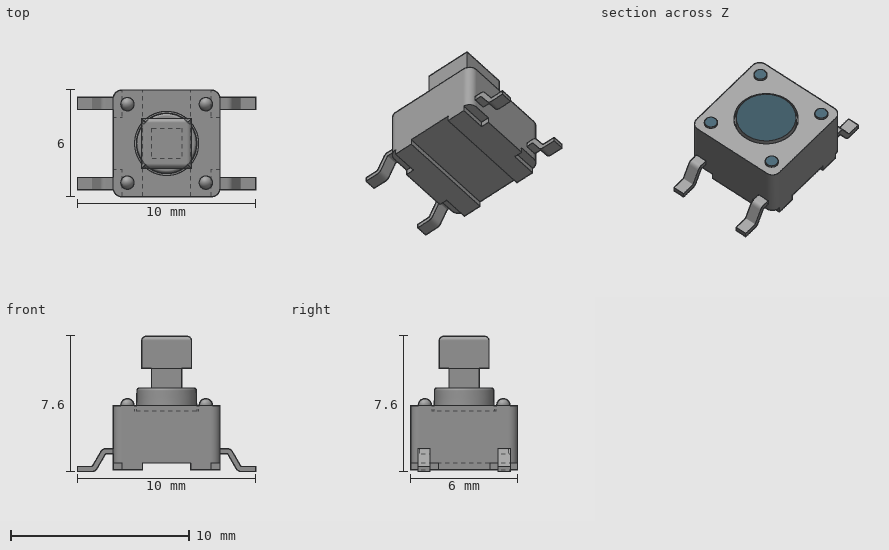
import cadquery as cq
import math

body_width = 6.0
body_bottom = 0.1
body_top = 3.7
corner_radius = 0.5

relief_height = 0.38
relief_top = body_bottom + relief_height
channel_width = 2.7
pad_width = 2.9
corner_notch_x = corner_radius
corner_notch_y = (body_width - pad_width) / 2

opening_diameter = 3.6
opening_depth = 0.3
opening_floor = body_top - opening_depth

rivet_diameter = 0.75
rivet_height = 0.4
rivet_spacing = 4.4

terminal_span = 10.0
terminal_width = 0.7
terminal_spacing = 4.5
terminal_thickness = 0.3
terminal_top = 1.3
foot_length = 0.8
bend_angle = math.radians(60)
inner_bend = 0.05
outer_bend = inner_bend + terminal_thickness

collar_base_diameter = 3.4
collar_top_diameter = 3.34
collar_top = 4.7
collar_fillet = 0.15
stem_width = 1.7
cap_width = 2.8
cap_bottom = 5.8
cap_top = 7.6
cap_fillet = 0.25


def block(size_x, size_y, bottom, top):
    """Upright block centred on the Z axis."""
    return cq.Workplane("XY").workplane(offset=bottom).rect(size_x, size_y).extrude(top - bottom)


def housing_block():
    shape = block(body_width, body_width, body_bottom, body_top)
    shape = shape.edges("|Z").fillet(corner_radius)
    shape = shape.cut(block(channel_width, body_width, body_bottom, relief_top))
    notch = block(corner_notch_x, corner_notch_y, body_bottom, relief_top)
    notch_x = (body_width - corner_notch_x) / 2
    notch_y = (body_width - corner_notch_y) / 2
    for side_x in (-1, 1):
        for side_y in (-1, 1):
            shape = shape.cut(notch.translate((side_x * notch_x, side_y * notch_y, 0)))
    opening = cq.Workplane("XY").workplane(offset=opening_floor)
    return shape.cut(opening.circle(opening_diameter / 2).extrude(opening_depth))


def rivet_head():
    """Hemisphere on a short cylindrical rim, centred on the Z axis."""
    radius = rivet_diameter / 2
    rim_top = body_top + rivet_height - radius
    diagonal = radius * math.sqrt(0.5)
    return (
        cq.Workplane("XZ")
        .moveTo(0, body_top)
        .lineTo(radius, body_top)
        .lineTo(radius, rim_top)
        .threePointArc((diagonal, rim_top + diagonal), (0, rim_top + radius))
        .close()
        .revolve(360, (0, 0, 0), (0, 1, 0))
    )


def terminal():
    """Terminal on the +X side, centred on Y = 0."""
    root_x = body_width / 2
    tip_x = terminal_span / 2

    lower_x = tip_x - foot_length
    upper_z = terminal_top - outer_bend
    lower_z = outer_bend
    centre_rise = upper_z - lower_z
    centre_run = (inner_bend + outer_bend + centre_rise * math.cos(bend_angle)) / math.sin(bend_angle)
    upper_x = lower_x - centre_run

    def upper(radius, angle):
        return (upper_x + radius * math.sin(angle), upper_z + radius * math.cos(angle))

    def lower(radius, angle):
        return (lower_x - radius * math.sin(angle), lower_z - radius * math.cos(angle))

    half_angle = bend_angle / 2
    return (
        cq.Workplane("XZ")
        .moveTo(root_x, terminal_top)
        .lineTo(*upper(outer_bend, 0))
        .threePointArc(upper(outer_bend, half_angle), upper(outer_bend, bend_angle))
        .lineTo(*lower(inner_bend, bend_angle))
        .threePointArc(lower(inner_bend, half_angle), lower(inner_bend, 0))
        .lineTo(tip_x, terminal_thickness)
        .lineTo(tip_x, 0)
        .lineTo(*lower(outer_bend, 0))
        .threePointArc(lower(outer_bend, half_angle), lower(outer_bend, bend_angle))
        .lineTo(*upper(inner_bend, bend_angle))
        .threePointArc(upper(inner_bend, half_angle), upper(inner_bend, 0))
        .lineTo(root_x, terminal_top - terminal_thickness)
        .close()
        .extrude(terminal_width / 2, both=True)
    )


def make_housing():
    shape = housing_block()
    rivet = rivet_head()
    right_terminal = terminal()
    left_terminal = right_terminal.mirror("YZ")
    for side_y in (-1, 1):
        for side_x in (-1, 1):
            shape = shape.union(rivet.translate((side_x * rivet_spacing / 2, side_y * rivet_spacing / 2, 0)))
        for lead in (left_terminal, right_terminal):
            shape = shape.union(lead.translate((0, side_y * terminal_spacing / 2, 0)))
    return shape


def make_button():
    collar = (
        cq.Workplane("XY")
        .workplane(offset=opening_floor)
        .circle(collar_base_diameter / 2)
        .workplane(offset=collar_top - opening_floor)
        .circle(collar_top_diameter / 2)
        .loft()
        .faces(">Z")
        .edges()
        .fillet(collar_fillet)
    )
    stem = block(stem_width, stem_width, collar_top, cap_bottom)
    cap = block(cap_width, cap_width, cap_bottom, cap_top).faces(">Z").edges().fillet(cap_fillet)
    return collar.union(stem).union(cap)


housing = make_housing()
button = make_button()

result = cq.Compound.makeCompound([housing.val(), button.val()])